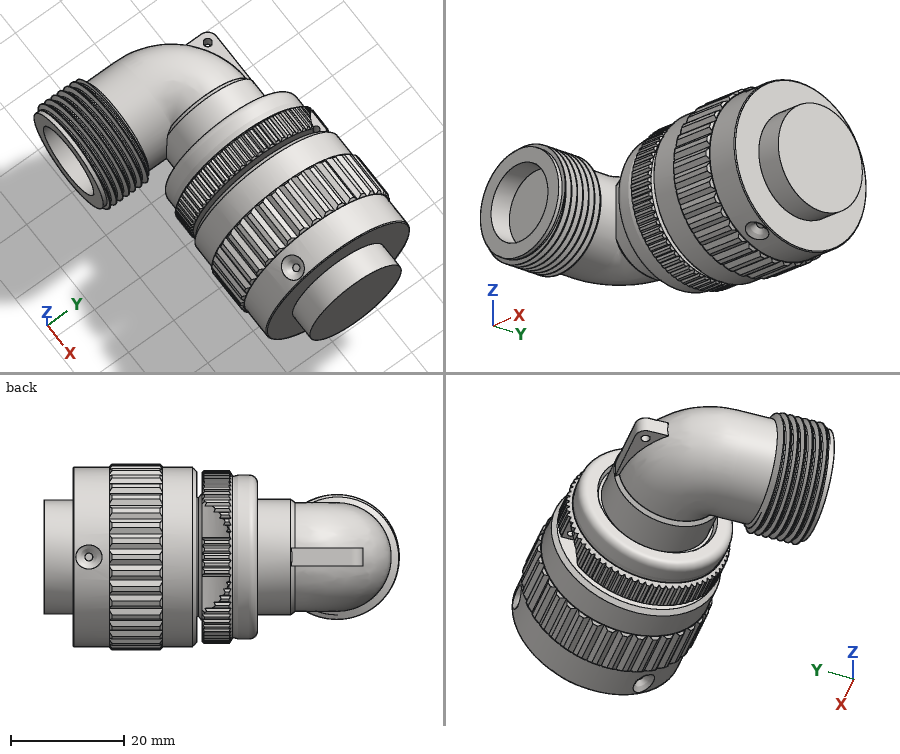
import cadquery as cq
import math


pipe_radius = 9.6
bend_radius = 7.4
port_end_y = -24.6
port_radius = 10.25
bore_radius = 7.4
bore_depth = 4.4

thread_radius = 11.05
thread_pitch = 1.4
thread_turns = 8
thread_start_y = -13.3
thread_end_y = -23.8
thread_core_start_y = -14.1
thread_lead_in = 0.9
crest_width = 0.2
root_width = 1.25
root_overlap = 0.1

lug_left_x = -4.6
lug_top_y = 10.05
lug_thickness = 3.2
lug_corner_radius = 1.95
lug_hole_diameter = 1.6
lug_hole_x = -2.65
lug_hole_y = 8.1

collar_radius = 10.25
collar_face_radius = 9.65
collar_chamfer_length = 0.75
ring_start_x = 14.0
ring_end_x = 18.15
ring_radius = 14.5
ring_round = 1.5
ring_bevel_length = 0.7
ring_bevel_drop = 0.2
ring_recess_radius = 11.25
ring_recess_floor_radius = 10.8
ring_recess_depth = 0.95

nut_start_x = 18.45
nut_end_x = 23.8
nut_tip_radius = 15.3
nut_root_radius = 14.9
nut_tooth_count = 72
nut_tip_width = 0.55
nut_front_bevel_length = 0.55
nut_front_bevel_drop = 0.9
nut_rear_chamfer = 0.4

web_thickness = 6.9
web_arc_middle = (20.9, 13.05)
web_arc_end_y = 11.6
web_cut_clearance = 0.6
nut_hole_x = 22.5
nut_hole_y = 13.25
nut_hole_diameter = 1.25

neck_cone_end_x = 24.4
neck_cone_radius = 11.3
neck_radius = 10.55

shell_start_x = 24.7
shell_end_x = 46.65
shell_radius = 15.9
shell_front_chamfer = 0.8
shell_rear_chamfer = 0.2
grip_start_x = 30.8
grip_end_x = 40.2
grip_tip_radius = 16.45
grip_tooth_count = 36
grip_root_radius = 15.8
grip_tip_width = 0.95
grip_end_chamfer = 0.45

screw_x = 43.8
screw_count = 3
dish_radius = 2.3
dish_depth = 0.6
socket_radius = 1.45
socket_floor_radius = 0.7
socket_depth = 0.95

plug_end_x = 51.7
plug_radius = 10.1

knurl_seat = 3.15


def port_cylinder(start_y, end_y, radius):
    return cq.Workplane("XZ", origin=(0, start_y, 0)).circle(radius).extrude(start_y - end_y)


def make_elbow():
    """Bend swept about a vertical axis at its inner corner, with the straight pipe below it."""
    half_chord = math.sqrt(pipe_radius**2 - bend_radius**2)
    section = (
        cq.Workplane("XZ", origin=(0, -bend_radius, 0))
        .moveTo(bend_radius, -half_chord)
        .threePointArc((-pipe_radius, 0), (bend_radius, half_chord))
        .close()
    )
    bend = section.revolve(90, (bend_radius, 0.6, 0), (bend_radius, 0, 0))
    return bend.union(port_cylinder(-bend_radius, port_end_y, pipe_radius))


def make_thread():
    """Right-hand helical ridge around the port, overrunning both ends of the threaded length."""
    height = thread_turns * thread_pitch
    base_radius = port_radius - root_overlap
    helix = cq.Wire.makeHelix(thread_pitch, height, base_radius)
    ridge = (
        cq.Workplane("XZ")
        .polyline([
            (base_radius, -root_width / 2),
            (thread_radius, -crest_width / 2),
            (thread_radius, crest_width / 2),
            (base_radius, root_width / 2),
        ])
        .close()
        .sweep(cq.Workplane(helix), isFrenet=True)
    )
    return (
        ridge.rotate((0, 0, 0), (0, 0, 1), 180)
        .rotate((0, 0, 0), (1, 0, 0), 90)
        .translate((0, thread_start_y, 0))
    )


def make_lug():
    """Plate beside the outer curve of the bend, pierced for safety wire."""
    plate = (
        cq.Workplane("XY", origin=(0, 0, -lug_thickness / 2))
        .moveTo(lug_left_x, 0)
        .lineTo(bend_radius + collar_chamfer_length, 0)
        .lineTo(bend_radius + collar_chamfer_length, lug_top_y)
        .lineTo(lug_left_x, lug_top_y)
        .close()
        .extrude(lug_thickness)
        .edges("|Z and <X and >Y")
        .fillet(lug_corner_radius)
    )
    hole = (
        cq.Workplane("XY", origin=(lug_hole_x, lug_hole_y, -lug_thickness))
        .circle(lug_hole_diameter / 2)
        .extrude(2 * lug_thickness)
    )
    return plate.cut(hole)


def make_turned_body():
    """Collar, ring, neck, shell and plug turned about the X axis, with seats for the knurled discs."""
    ring_arc_offset = ring_round * (1 - math.sqrt(0.5))
    outline = (
        cq.Workplane("XY")
        .moveTo(bend_radius, 0)
        .lineTo(bend_radius, collar_face_radius)
        .lineTo(bend_radius + collar_chamfer_length, collar_radius)
        .lineTo(ring_start_x + ring_recess_depth, collar_radius)
        .lineTo(ring_start_x + ring_recess_depth, ring_recess_floor_radius)
        .lineTo(ring_start_x, ring_recess_radius)
        .lineTo(ring_start_x, ring_radius - ring_round)
        .threePointArc(
            (ring_start_x + ring_arc_offset, ring_radius - ring_arc_offset),
            (ring_start_x + ring_round, ring_radius),
        )
        .lineTo(ring_end_x - ring_bevel_length, ring_radius)
        .lineTo(ring_end_x, ring_radius - ring_bevel_drop)
        .lineTo(nut_start_x, ring_radius - ring_bevel_drop)
        .lineTo(nut_start_x, nut_root_radius - knurl_seat)
        .lineTo(nut_end_x, nut_root_radius - knurl_seat)
        .lineTo(nut_end_x, neck_cone_radius)
        .lineTo(neck_cone_end_x, neck_radius)
        .lineTo(shell_start_x, neck_radius)
        .lineTo(shell_start_x, shell_radius - shell_front_chamfer)
        .lineTo(shell_start_x + shell_front_chamfer, shell_radius)
        .lineTo(grip_start_x, shell_radius)
        .lineTo(grip_start_x, grip_root_radius - knurl_seat)
        .lineTo(grip_end_x, grip_root_radius - knurl_seat)
        .lineTo(grip_end_x, shell_radius)
        .lineTo(shell_end_x - shell_rear_chamfer, shell_radius)
        .lineTo(shell_end_x, shell_radius - shell_rear_chamfer)
        .lineTo(shell_end_x, plug_radius)
        .lineTo(plug_end_x, plug_radius)
        .lineTo(plug_end_x, 0)
        .close()
    )
    return outline.revolve(360, (0, 0, 0), (1, 0, 0))


def make_knurl(start_x, end_x, root_radius, tip_radius, count, tip_width, front_bevel, rear_bevel):
    """Disc with V grooves between flat-topped teeth. Each bevel is an axial length and a radial drop."""
    half_tip_angle = math.asin(tip_width / 2 / tip_radius)
    pitch_angle = 2 * math.pi / count
    profile = []
    for i in range(count):
        middle = i * pitch_angle
        corners = [
            (tip_radius, middle - half_tip_angle),
            (tip_radius, middle + half_tip_angle),
            (root_radius, middle + pitch_angle / 2),
        ]
        profile += [(radius * math.cos(angle), radius * math.sin(angle)) for radius, angle in corners]
    end_plane = cq.Workplane("YZ", origin=(start_x, 0, 0))
    toothed_disc = end_plane.polyline(profile).close().extrude(end_x - start_x)
    envelope = (
        cq.Workplane("XY")
        .polyline([
            (start_x, 0),
            (start_x, tip_radius - front_bevel[1]),
            (start_x + front_bevel[0], tip_radius),
            (end_x - rear_bevel[0], tip_radius),
            (end_x, tip_radius - rear_bevel[1]),
            (end_x, 0),
        ])
        .close()
        .revolve(360, (0, 0, 0), (1, 0, 0))
    )
    return toothed_disc.intersect(envelope)


def make_web_cutters():
    """Corner cuts above and below the safety wire web, and the wire hole through it."""
    outer_y = nut_tip_radius + web_cut_clearance
    upper = (
        cq.Workplane("XY", origin=(0, 0, web_thickness / 2))
        .moveTo(nut_start_x, nut_tip_radius)
        .threePointArc(web_arc_middle, (nut_end_x, web_arc_end_y))
        .lineTo(nut_end_x, outer_y)
        .lineTo(nut_start_x, outer_y)
        .close()
        .extrude(nut_tip_radius)
    )
    hole = (
        cq.Workplane("XY", origin=(nut_hole_x, nut_hole_y, -web_thickness))
        .circle(nut_hole_diameter / 2)
        .extrude(2 * web_thickness)
    )
    return upper.union(upper.mirror("XY")).union(hole)


def make_screw_recess(angle):
    """Shallow dish leading into a tapered socket, entering the shell at an angle from +Y."""
    mouth_radius = dish_radius + (dish_radius - socket_radius)
    recess = (
        cq.Workplane("XY")
        .moveTo(screw_x, shell_radius - dish_depth - socket_depth)
        .lineTo(screw_x + socket_floor_radius, shell_radius - dish_depth - socket_depth)
        .lineTo(screw_x + socket_radius, shell_radius - dish_depth)
        .lineTo(screw_x + mouth_radius, shell_radius + dish_depth)
        .lineTo(screw_x, shell_radius + dish_depth)
        .close()
        .revolve(360, (screw_x, 0, 0), (screw_x, 1, 0))
    )
    return recess.rotate((0, 0, 0), (1, 0, 0), angle)


def make_port():
    """Threaded end of the port. The thread is trimmed to a conical lead-in and a square end."""
    envelope = (
        cq.Workplane("XY")
        .polyline([
            (0, thread_core_start_y),
            (pipe_radius, thread_core_start_y),
            (thread_radius + root_overlap, thread_core_start_y - thread_lead_in),
            (thread_radius + root_overlap, thread_end_y),
            (0, thread_end_y),
        ])
        .close()
        .revolve(360, (0, 0, 0), (0, 1, 0))
    )
    core = port_cylinder(thread_core_start_y, thread_end_y, port_radius)
    plain_end = port_cylinder(thread_end_y, port_end_y, port_radius)
    return core.union(make_thread()).intersect(envelope).union(plain_end)


nut = make_knurl(
    nut_start_x, nut_end_x, nut_root_radius, nut_tip_radius, nut_tooth_count, nut_tip_width,
    (nut_front_bevel_length, nut_front_bevel_drop),
    (nut_rear_chamfer, nut_rear_chamfer),
).cut(make_web_cutters())
grip = make_knurl(
    grip_start_x, grip_end_x, grip_root_radius, grip_tip_radius, grip_tooth_count, grip_tip_width,
    (grip_end_chamfer, grip_end_chamfer),
    (grip_end_chamfer, grip_end_chamfer),
)

result = make_turned_body().union(nut).union(grip)
for i in range(screw_count):
    result = result.cut(make_screw_recess(360 / screw_count * i))

port_bore = port_cylinder(port_end_y + bore_depth, port_end_y, bore_radius)
result = result.union(make_elbow()).union(make_lug()).union(make_port()).cut(port_bore)